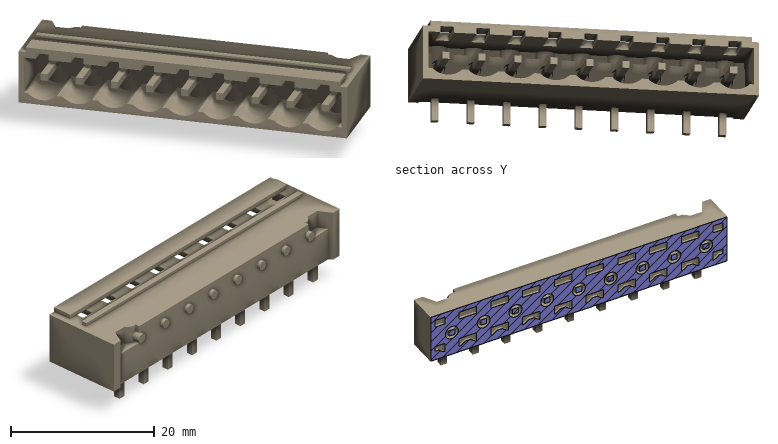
import cadquery as cq
import math


LENGTH = 47.6
DEPTH = 12.0
BODY_HEIGHT = 7.7
BACK_WALL_Y = 11.45

PIN_COUNT = 9
PITCH = 5.1
PIN_SIZE = 1.0
PIN_AXIS_Z = 3.8
PIN_TIP_Y = 0.95
PIN_LEG_Y = 10.0
PIN_DROP = 3.2
PIN_HOLE_RADIUS = 1.0
PIN_HOLE_BOTTOM_Y = 8.1

CAVITY_LENGTH = 46.1
CAVITY_FLOOR_Z = 1.55
CAVITY_CEILING_Z = 6.85
CAVITY_DEPTH = 7.6
SCALLOP_WIDTH = 4.25
SCALLOP_DEPTH = 0.85

COLUMN_RADIUS = 1.55
COLUMN_WIDTH_AT_WALL = 2.75
BAR_BOTTOM_Z = 2.3
BAR_TOP_Z = 5.75
COLUMN_WIDTH_AT_BAR = 1.8

RIDGE_LENGTH = 45.55
RIDGE_DEPTH = 3.0
OVERALL_HEIGHT = 11.6
RIB_FRONT_Y = 5.15
RIB_WIDTH = 0.85
RIB_HEIGHT = 0.55
SLOT_WIDTH = 1.85
SLOT_DEPTH = 4.15

TAB_INNER_X = 22.4
NOTCH_OUTER_X = 21.3
NOTCH_INNER_X = 19.45
NOTCH_FRONT_Y = 10.0
NOTCH_STEP_X = 18.52
NOTCH_STEP_Y = 10.75
NOTCH_FLOOR_Z = 5.0
BOSS_RADIUS = 0.65
BOSS_AXIS_Z = 5.95

pin_xs = [(i - (PIN_COUNT - 1) / 2) * PITCH for i in range(PIN_COUNT)]
boss_xs = [x + PITCH / 2 for x in pin_xs[:-1]]


def block(x_size, y_range, z_range, x_middle=0.0):
    """Box centred on x_middle that fills the given Y and Z ranges."""
    y0, y1 = y_range
    z0, z1 = z_range
    return cq.Workplane("XY").box(x_size, y1 - y0, z1 - z0, centered=(True, False, False)).translate(
        (x_middle, y0, z0)
    )


def rod(x, z, radius, y_range):
    """Cylinder along Y."""
    y0, y1 = y_range
    return cq.Workplane("XZ", origin=(x, y0, z)).circle(radius).extrude(y0 - y1)


def distance_to_chord(radius, chord):
    """Distance from the centre of a circle to a chord of the given length."""
    return math.sqrt(radius**2 - (chord / 2) ** 2)


def shell():
    slope = (TAB_INNER_X - NOTCH_OUTER_X) / (DEPTH - NOTCH_FRONT_Y)
    tab_foot_x = TAB_INNER_X - slope * (DEPTH - BACK_WALL_Y)
    half = LENGTH / 2
    right = [(half, 0), (half, DEPTH), (TAB_INNER_X, DEPTH), (tab_foot_x, BACK_WALL_Y)]
    left = [(-x, y) for x, y in reversed(right)]
    return cq.Workplane("XY").polyline(right + left).close().extrude(BODY_HEIGHT)


def notch(side):
    """Pocket in the top rear corner, on the side given by the sign."""
    outline = [
        (TAB_INNER_X, DEPTH),
        (NOTCH_OUTER_X, NOTCH_FRONT_Y),
        (NOTCH_INNER_X, NOTCH_FRONT_Y),
        (NOTCH_STEP_X, NOTCH_STEP_Y),
        (boss_xs[-1], NOTCH_STEP_Y),
        (boss_xs[-1], DEPTH),
    ]
    return (
        cq.Workplane("XY", origin=(0, 0, NOTCH_FLOOR_Z))
        .polyline([(side * x, y) for x, y in outline])
        .close()
        .extrude(BODY_HEIGHT - NOTCH_FLOOR_Z)
    )


def cavity():
    space = block(CAVITY_LENGTH, (0, CAVITY_DEPTH), (CAVITY_FLOOR_Z, CAVITY_CEILING_Z))
    scallop_radius = (SCALLOP_WIDTH**2 / 4 + SCALLOP_DEPTH**2) / (2 * SCALLOP_DEPTH)
    scallop_axis_z = CAVITY_FLOOR_Z - SCALLOP_DEPTH + scallop_radius
    lower_zone = block(
        CAVITY_LENGTH,
        (0, CAVITY_DEPTH),
        (CAVITY_FLOOR_Z - SCALLOP_DEPTH, CAVITY_CEILING_Z),
    )
    for x in pin_xs:
        scallop = rod(x, scallop_axis_z, scallop_radius, (0, CAVITY_DEPTH))
        space = space.union(scallop.intersect(lower_zone))
    return space


def cavity_back():
    axis_y = CAVITY_DEPTH + distance_to_chord(COLUMN_RADIUS, COLUMN_WIDTH_AT_WALL)
    bar_front_y = axis_y - distance_to_chord(COLUMN_RADIUS, COLUMN_WIDTH_AT_BAR)
    back = block(CAVITY_LENGTH, (bar_front_y, CAVITY_DEPTH), (BAR_BOTTOM_Z, BAR_TOP_Z))
    for x in pin_xs:
        column = cq.Workplane("XY").center(x, axis_y).circle(COLUMN_RADIUS).extrude(CAVITY_CEILING_Z)
        back = back.union(column)
    return back


def pin(x):
    half = PIN_SIZE / 2
    pin_top = PIN_AXIS_Z + half
    leg_back = PIN_LEG_Y + half
    arm = block(PIN_SIZE, (PIN_TIP_Y, leg_back), (PIN_AXIS_Z - half, pin_top), x)
    leg = block(PIN_SIZE, (PIN_LEG_Y - half, leg_back), (-PIN_DROP, pin_top), x)
    return arm.union(leg)


body = shell().cut(cavity()).union(cavity_back())
for side in (-1, 1):
    body = body.cut(notch(side))

body = body.union(block(RIDGE_LENGTH, (0, RIDGE_DEPTH), (BODY_HEIGHT, OVERALL_HEIGHT - PIN_DROP)))
body = body.union(
    block(RIDGE_LENGTH, (RIB_FRONT_Y, RIB_FRONT_Y + RIB_WIDTH), (BODY_HEIGHT, BODY_HEIGHT + RIB_HEIGHT))
)

for x in pin_xs:
    body = body.cut(block(SLOT_WIDTH, (0, SLOT_DEPTH), (CAVITY_CEILING_Z, BODY_HEIGHT), x))
    body = body.cut(rod(x, PIN_AXIS_Z, PIN_HOLE_RADIUS, (0, PIN_HOLE_BOTTOM_Y)))
    body = body.union(pin(x))

for x in boss_xs:
    body = body.union(rod(x, BOSS_AXIS_Z, BOSS_RADIUS, (NOTCH_STEP_Y, DEPTH)))

result = body